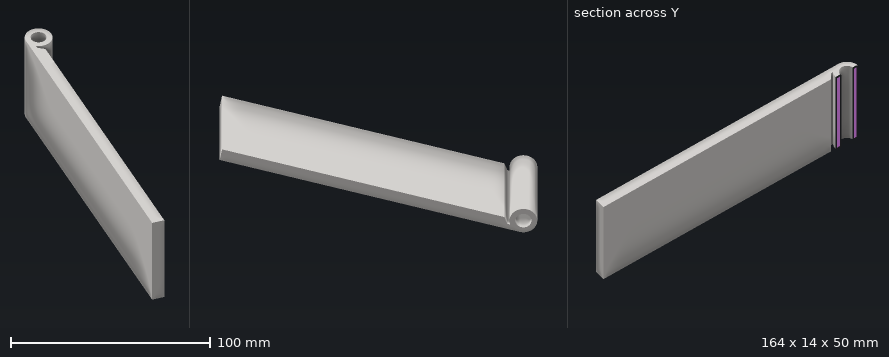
import cadquery as cq
import math

length = 164.0
height = 50.0
barrel_diameter = 14.0

pin_diameter = 8.0
leaf_thickness = 6.4
end_bevel_angle = 5.0

notch_floor_thickness = 3.0
notch_floor_end = 7.2
notch_top_end = 9.8

barrel_radius = barrel_diameter / 2
outer_face_y = -barrel_radius
inner_face_y = outer_face_y + leaf_thickness
notch_floor_y = outer_face_y + notch_floor_thickness
leaf_end_x = length - barrel_radius
end_bevel = leaf_thickness * math.tan(math.radians(end_bevel_angle))


def make_leaf():
    """Leaf tangent to the barrel, with a sloped notch and a bevelled free end."""
    return (
        cq.Workplane("XY")
        .moveTo(0, outer_face_y)
        .lineTo(leaf_end_x - end_bevel, outer_face_y)
        .lineTo(leaf_end_x, inner_face_y)
        .lineTo(notch_top_end, inner_face_y)
        .lineTo(notch_floor_end, notch_floor_y)
        .lineTo(0, notch_floor_y)
        .close()
        .extrude(height)
    )


def make_cylinder(diameter):
    """Full-height cylinder on the barrel axis."""
    return cq.Workplane("XY").circle(diameter / 2).extrude(height)


barrel = make_cylinder(barrel_diameter)
pin_hole = make_cylinder(pin_diameter)
result = barrel.union(make_leaf()).cut(pin_hole)